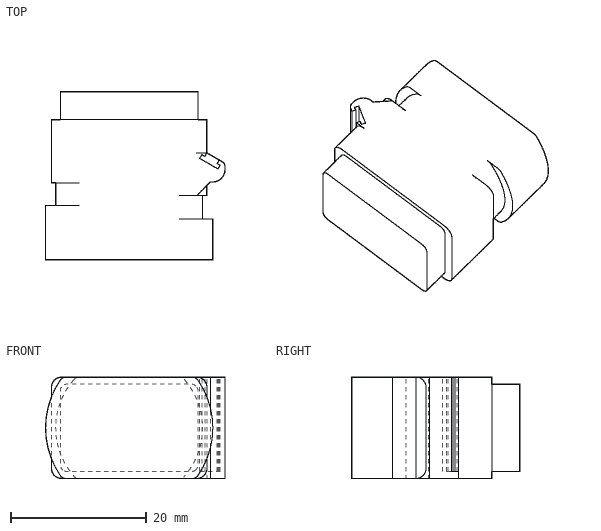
import cadquery as cq
import math

WIDTH = 26.55
HEIGHT = 15.0
DEPTH = 24.85
HALF_HEIGHT = HEIGHT / 2

HEAD_RADIUS = 12.37
NECK_RADIUS = 10.85
DISC_EDGE_RADIUS = 1.0

BODY_WIDTH = 23.0
BODY_CORNER_RADIUS = 1.51
BODY_BACK = 20.74
REAR_WIDTH = 20.36
REAR_HEIGHT = 12.93
REAR_CORNER_RADIUS = 1.0

LEFT_NECK_START = 8.05
LEFT_NECK_END = 11.36
RIGHT_NECK_START = 6.05
RIGHT_NECK_END = 9.48

LUG_TIP_X = WIDTH - HEAD_RADIUS
LUG_FRONT_Y = 11.5
LUG_BACK_Y = 15.82
LUG_TIP_RADIUS = 0.75
LUG_FRONT_RADIUS = 1.83
LUG_BACK_ANGLE = 30

SLOT_OPENING = 2.1
SLOT_LIP = 0.6
SLOT_UNDERCUT = 0.5
SLOT_DEPTH = 1.25
SLOT_FLOOR = 1.0


def block(width, height, y_start, y_end):
    """Box centred on X and Z between two Y positions."""
    length = y_end - y_start
    return cq.Workplane("XY").box(width, length, height).translate((0, y_start + length / 2, 0))


def rounded_block(width, height, corner_radius, y_start, y_end):
    return block(width, height, y_start, y_end).edges("|Y").fillet(corner_radius)


def flat_disc(radius, y_start, y_end):
    """Disc about the Y axis, trimmed to the part height, with rounded trim edges."""
    disc = cq.Workplane("XZ", origin=(0, y_start, 0)).circle(radius).extrude(y_start - y_end)
    trimmed = disc.intersect(block(2 * radius, HEIGHT, y_start, y_end))
    return trimmed.edges("|Y and (>Z or <Z)").fillet(DISC_EDGE_RADIUS)


def stepped_half(side, neck_start, neck_end):
    """Head, neck and body on one side of X = 0; side is -1 for left, +1 for right."""
    half_space = cq.Workplane("XY").box(WIDTH, 2 * DEPTH, HEIGHT).translate((side * WIDTH / 2, 0, 0))
    head = flat_disc(HEAD_RADIUS, 0, neck_start)
    neck = flat_disc(NECK_RADIUS, neck_start, neck_end)
    body = rounded_block(BODY_WIDTH, HEIGHT, BODY_CORNER_RADIUS, neck_end, BODY_BACK)
    return head.union(neck).union(body).intersect(half_space)


def lug():
    root_x = BODY_WIDTH / 2
    inner_x = root_x - BODY_CORNER_RADIUS
    slope_drop = (LUG_TIP_X - root_x) * math.tan(math.radians(LUG_BACK_ANGLE))
    elbow_x = inner_x + LUG_FRONT_Y - RIGHT_NECK_END
    outline = [
        (inner_x, RIGHT_NECK_END),
        (elbow_x, LUG_FRONT_Y),
        (LUG_TIP_X, LUG_FRONT_Y),
        (LUG_TIP_X, LUG_BACK_Y - slope_drop),
        (root_x, LUG_BACK_Y),
        (inner_x, LUG_BACK_Y),
    ]
    solid = cq.Workplane("XY", origin=(0, 0, -HALF_HEIGHT)).polyline(outline).close().extrude(HEIGHT)
    solid = solid.edges("|Z").edges(">X").edges("<Y").fillet(LUG_FRONT_RADIUS)
    return solid.edges("|Z").edges(">X").edges(">Y").fillet(LUG_TIP_RADIUS)


def label_slot():
    """T-slot cutter, drawn along the slope from where the lug leaves the body."""
    z_floor = -HALF_HEIGHT + SLOT_FLOOR
    overshoot = 0.27
    plane = cq.Plane(origin=(BODY_WIDTH / 2, LUG_BACK_Y, z_floor)).rotated((0, 0, -LUG_BACK_ANGLE))
    outline = [
        (0, overshoot),
        (SLOT_OPENING, overshoot),
        (SLOT_OPENING, -SLOT_LIP),
        (SLOT_OPENING + SLOT_UNDERCUT, -SLOT_LIP),
        (SLOT_OPENING + SLOT_UNDERCUT, -SLOT_DEPTH),
        (-SLOT_UNDERCUT, -SLOT_DEPTH),
        (-SLOT_UNDERCUT, -SLOT_LIP),
        (0, -SLOT_LIP),
    ]
    return cq.Workplane(plane).polyline(outline).close().extrude(HEIGHT)


left_half = stepped_half(-1, LEFT_NECK_START, LEFT_NECK_END)
right_half = stepped_half(1, RIGHT_NECK_START, RIGHT_NECK_END)
rear_block = rounded_block(REAR_WIDTH, REAR_HEIGHT, REAR_CORNER_RADIUS, BODY_BACK, DEPTH)

result = left_half.union(right_half).union(rear_block).union(lug()).cut(label_slot()).clean()